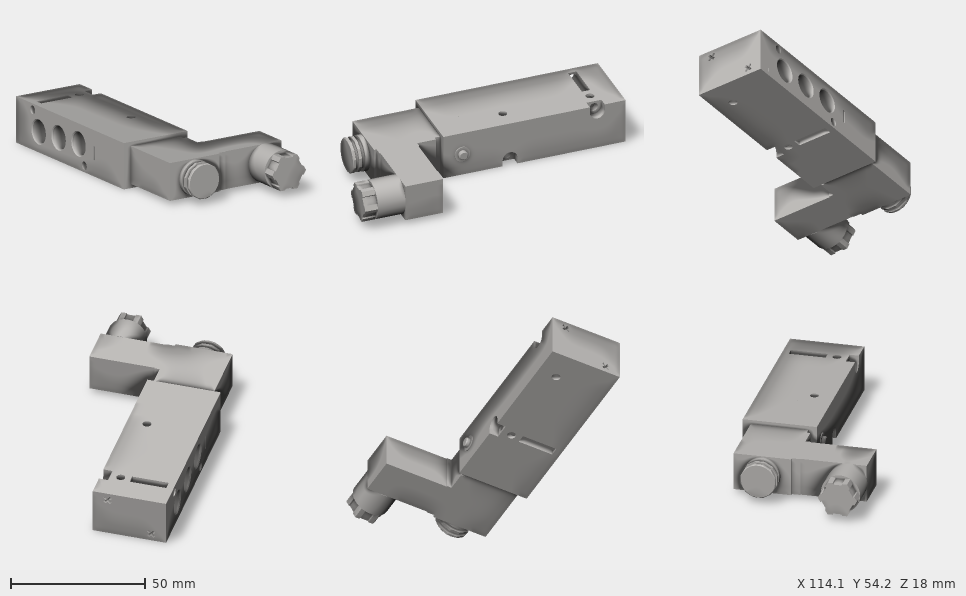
import cadquery as cq
import math


valve_width = 28.5
valve_height = 18.0
half_height = valve_height / 2

cap_end = 4.9
body_end = 52.3
adapter_end = 62.3
pilot_end = 72.9
coil_end = 99.4
total_length = 114.1

screw_spacing_y = 16.9
screw_spacing_z = 12.1
screw_diameter = 5.1
screw_length = 2.3
cross_length = 3.4
cross_width = 1.0
cross_depth = 0.9
cross_taper = 20
cap_notch_length = 0.3
cap_notch_height = 2.0
cap_notch_z = -6.5

port_x = 28.8
port_pitch = 13.5
port_rise = 1.0
port_diameter = 9.0
port_mouth_diameter = 9.8
port_depth = 11.4
port_chamfer = (port_mouth_diameter - port_diameter) / 2

hole_diameter = 3.3
hole_spacing = 34.9
hole_center_x = 28.8
cross_hole_z = 6.5
upright_hole_y = 20.9
relief_start = 2.7
relief_length = 14.1
spotface_width = 5.9
spotface_depth = 3.5

adapter_notch_length = 1.1
adapter_notch_height = 5.5

notch_depth = 0.3

plate_thickness = 1.4
plate_width = 10.6
plate_height = 6.2
override_x = 65.4
override_base_diameter = 6.2
override_base_height = 0.3
override_diameter = 3.7
override_height = 1.8
override_chamfer = 0.3

coil_height = 14.7
coil_front = 3.1
coil_back = 25.2
shoulder_start = 75.1
shoulder_back = 26.6
collar_start = 82.6
collar_end = 98.4
arm_start = 83.0
arm_end = 98.0
gland_diameter = 15.1
gland_y = 46.7
gland_overhang = 0.2
arm_back = gland_y + gland_diameter / 2 - gland_overhang
gland_nut_start = 109.0
gland_nut_sides = 6
flat_recess_depth = 0.6
flat_recess_width = 3.7
flat_recess_floor = 3.2

coil_nut_y = 14.1
coil_nut_radius = 7.0
coil_nut_sides = 12
groove_edge_radius = 5.7
groove_middle_radius = 5.2
coil_nut_end = 106.0
flange_end = 101.1
middle_disc_start = 102.5
middle_disc_end = 103.6
outer_disc_start = 104.9
coil_nut_chamfer = 0.5


def block(x0, x1, y0, y1, z0, z1):
    """Box given by its limits along each axis."""
    return cq.Workplane("XY").box(x1 - x0, y1 - y0, z1 - z0, centered=False).translate((x0, y0, z0))


def valve_slice(x0, x1):
    """Length of the full valve section."""
    return block(x0, x1, 0, valve_width, -half_height, half_height)


def rod_x(diameter, x0, x1, y, z):
    """Cylinder along X."""
    return cq.Workplane("YZ", origin=(x0, y, z)).circle(diameter / 2).extrude(x1 - x0)


def rod_y(diameter, x, y0, y1, z):
    """Cylinder along Y."""
    return cq.Workplane("XZ", origin=(x, y0, z)).circle(diameter / 2).extrude(y0 - y1)


def open_slot(width, x, y0, y1, z):
    """Round-bottomed slot along Y, centred at z and open through the nearer of the top and bottom faces."""
    side = math.copysign(half_height, z)
    walls = block(x - width / 2, x + width / 2, y0, y1, min(z, side), max(z, side))
    return rod_y(width, x, y0, y1, z).union(walls)


screw_places = [(valve_width / 2 + s * screw_spacing_y / 2, s * screw_spacing_z / 2) for s in (1, -1)]
cross_hole_places = [(hole_center_x - s * hole_spacing / 2, s * cross_hole_z) for s in (1, -1)]


def make_end_cap():
    cap = valve_slice(0, cap_end)
    for y, z in screw_places:
        cap = cap.cut(rod_x(screw_diameter, 0, screw_length, y, z))
    notch_bottom = cap_notch_z - cap_notch_height / 2
    notch_top = cap_notch_z + cap_notch_height / 2
    return cap.cut(block(cap_end - cap_notch_length, cap_end, 0, notch_depth, notch_bottom, notch_top))


def make_cap_screw(y, z):
    """Flush screw head with a cross recess turned 45 degrees and narrowing inward."""
    head = rod_x(screw_diameter, 0, screw_length, y, z)
    for angle in (45, -45):
        arm = cq.Workplane("YZ").rect(cross_length, cross_width).extrude(cross_depth, taper=cross_taper)
        arm = arm.rotate((0, 0, 0), (1, 0, 0), angle)
        head = head.cut(arm.translate((0, y, z)))
    return head


def make_port(x, z):
    """Cutter for a blind port with a chamfered mouth."""
    bore = rod_y(port_diameter, x, 0, port_depth, z)
    mouth = cq.Workplane("XZ", origin=(x, 0, z)).circle(port_mouth_diameter / 2)
    return bore.union(mouth.extrude(-port_chamfer, taper=45))


def make_valve_body():
    body = valve_slice(cap_end, body_end)
    for i in (-1, 0, 1):
        body = body.cut(make_port(port_x + i * port_pitch, i * port_rise))
    for x, z in cross_hole_places:
        body = body.cut(rod_y(hole_diameter, x, 0, valve_width, z))
        body = body.cut(open_slot(hole_diameter, x, relief_start, relief_start + relief_length, z))
        body = body.cut(open_slot(spotface_width, x, valve_width - spotface_depth, valve_width, z))
        upright = cq.Workplane("XY", origin=(x, upright_hole_y, -half_height))
        body = body.cut(upright.circle(hole_diameter / 2).extrude(valve_height))
    return body


def make_adapter():
    notch_half = adapter_notch_height / 2
    notch = block(body_end, body_end + adapter_notch_length, 0, notch_depth, -notch_half, notch_half)
    return valve_slice(body_end, adapter_end).cut(notch)


def make_corner_plate():
    return block(pilot_end - plate_thickness, pilot_end, 0, plate_width, half_height - plate_height, half_height)


def make_pilot_block():
    pilot = valve_slice(adapter_end, pilot_end).cut(make_corner_plate())
    base_top = valve_width + override_base_height
    base = rod_y(override_base_diameter, override_x, valve_width, base_top, 0)
    button = rod_y(override_diameter, override_x, valve_width, valve_width + override_height, 0)
    button = button.faces(">Y").chamfer(override_chamfer)
    return pilot.union(base).union(button)


def make_gland():
    """Round neck and hexagon nut whose flats are recessed between the corners."""
    neck = rod_x(gland_diameter, arm_end, gland_nut_start, gland_y, 0)
    nut_length = total_length - gland_nut_start
    nut = cq.Workplane("YZ", origin=(gland_nut_start, 0, 0))
    nut = nut.polygon(gland_nut_sides, gland_diameter).extrude(nut_length)
    flat = gland_diameter / 2 * math.cos(math.pi / gland_nut_sides)
    recess = (
        cq.Workplane("YZ", origin=(gland_nut_start, 0, 0))
        .moveTo(-flat_recess_floor / 2, flat - flat_recess_depth)
        .lineTo(flat_recess_floor / 2, flat - flat_recess_depth)
        .lineTo(flat_recess_width / 2, flat)
        .lineTo(-flat_recess_width / 2, flat)
        .close()
        .extrude(nut_length)
    )
    for i in range(gland_nut_sides):
        nut = nut.cut(recess.rotate((0, 0, 0), (1, 0, 0), i * 360 / gland_nut_sides))
    return neck.union(nut.translate((0, gland_y, 0)))


def make_coil_nut():
    core = (
        cq.Workplane("XY")
        .moveTo(coil_end, 0)
        .lineTo(coil_end, coil_nut_radius)
        .lineTo(flange_end, coil_nut_radius)
        .lineTo(flange_end, groove_edge_radius)
        .lineTo((flange_end + middle_disc_start) / 2, groove_middle_radius)
        .lineTo(middle_disc_start, groove_edge_radius)
        .lineTo(middle_disc_start, coil_nut_radius)
        .lineTo(middle_disc_end, coil_nut_radius)
        .lineTo(middle_disc_end, groove_edge_radius)
        .lineTo((middle_disc_end + outer_disc_start) / 2, groove_middle_radius)
        .lineTo(outer_disc_start, groove_edge_radius)
        .lineTo(outer_disc_start, coil_nut_radius)
        .lineTo(coil_nut_end - coil_nut_chamfer, coil_nut_radius)
        .lineTo(coil_nut_end, coil_nut_radius - coil_nut_chamfer)
        .lineTo(coil_nut_end, 0)
        .close()
        .revolve(360, (0, 0, 0), (1, 0, 0))
    )
    flange = rod_x(2 * coil_nut_radius, coil_end, flange_end, 0, 0)
    twelve_sided = (
        cq.Workplane("YZ", origin=(flange_end, 0, 0))
        .polygon(coil_nut_sides, 2 * coil_nut_radius)
        .extrude(coil_nut_end - flange_end)
        .rotate((0, 0, 0), (1, 0, 0), 180 / coil_nut_sides)
    )
    return core.intersect(flange.union(twelve_sided)).translate((0, coil_nut_y, 0))


def make_solenoid():
    outline = [
        (pilot_end, coil_front),
        (coil_end, coil_front),
        (coil_end, coil_back),
        (collar_end, coil_back),
        (collar_end, valve_width),
        (arm_end, valve_width),
        (arm_end, arm_back),
        (arm_start, arm_back),
        (arm_start, valve_width),
        (collar_start, valve_width),
        (collar_start, shoulder_back),
        (shoulder_start, shoulder_back),
        (shoulder_start, coil_back),
        (pilot_end, coil_back),
    ]
    coil = cq.Workplane("XY", origin=(0, 0, -coil_height / 2)).polyline(outline).close().extrude(coil_height)
    return coil.union(make_gland()).union(make_coil_nut())


end_cap = make_end_cap()
cap_screws = [make_cap_screw(y, z) for y, z in screw_places]
valve_body = make_valve_body()
adapter = make_adapter()
pilot_block = make_pilot_block()
corner_plate = make_corner_plate()
solenoid = make_solenoid()

result = cq.Compound.makeCompound([
    end_cap.val(),
    *[screw.val() for screw in cap_screws],
    valve_body.val(),
    adapter.val(),
    pilot_block.val(),
    corner_plate.val(),
    solenoid.val(),
])